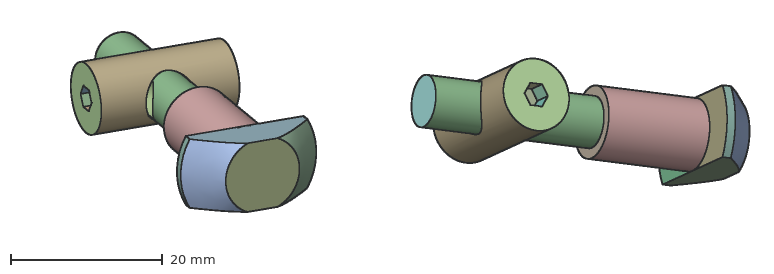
import cadquery as cq
import math

total_length = 45.7
pin_diameter = 7.0
shoulder_diameter = 9.8
shoulder_start = 25.0
head_start = 40.0

head_diameter = 19.65
head_rim_width = 1.25
head_cone_drop = total_length - head_start - head_rim_width

seat_center_x = 13.95
seat_edge_x = 18.4
seat_slope_degrees = 45.0

barrel_diameter = shoulder_diameter
barrel_length = 20.0
barrel_center_x = 11.5
cross_hole_diameter = 7.1
hex_across_flats = 3.0
hex_depth = 3.0


def make_head():
    rim_radius = head_diameter / 2
    back_radius = rim_radius - head_cone_drop
    cone_start = head_start + head_rim_width
    disc = (
        cq.Workplane("XY")
        .moveTo(head_start, 0)
        .lineTo(head_start, rim_radius)
        .lineTo(cone_start, rim_radius)
        .lineTo(total_length, back_radius)
        .lineTo(total_length, 0)
        .close()
        .revolve(360, (0, 0, 0), (1, 0, 0))
    )
    flats = cq.Workplane("XY").box(2 * total_length, head_diameter, shoulder_diameter)
    return disc.intersect(flats)


def make_seat_cutter():
    """Cone pointing toward +Y whose wide end lies on the -Y edge of the pin."""
    seat_radius = seat_edge_x - seat_center_x
    seat_depth = seat_radius * math.tan(math.radians(seat_slope_degrees))
    base_point = cq.Vector(seat_center_x, -pin_diameter / 2, 0)
    return cq.Solid.makeCone(seat_radius, 0, seat_depth, base_point, cq.Vector(0, 1, 0))


def make_pin():
    stem = cq.Workplane("YZ").circle(pin_diameter / 2).extrude(head_start)
    shoulder = (
        cq.Workplane("YZ", origin=(shoulder_start, 0, 0))
        .circle(shoulder_diameter / 2)
        .extrude(head_start - shoulder_start)
    )
    return stem.cut(cq.Workplane(make_seat_cutter())).union(shoulder).union(make_head())


def make_barrel():
    front_y = -barrel_length / 2
    front_face = cq.Workplane("XZ", origin=(barrel_center_x, front_y, 0))
    cylinder = front_face.circle(barrel_diameter / 2).extrude(-barrel_length)
    cross_hole = cq.Workplane("YZ").circle(cross_hole_diameter / 2).extrude(shoulder_start)
    hex_across_corners = hex_across_flats / math.cos(math.pi / 6)
    hex_socket = front_face.polygon(6, hex_across_corners).extrude(-hex_depth)
    return cylinder.cut(cross_hole).cut(hex_socket)


pin = make_pin()
barrel = make_barrel()

result = cq.Compound.makeCompound([pin.val(), barrel.val()])